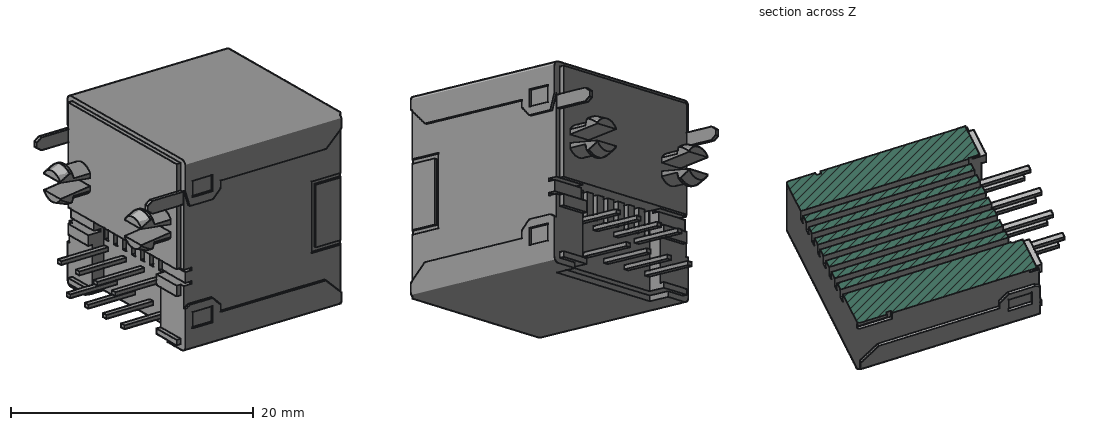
import cadquery as cq

WIDTH = 16.6
HEIGHT = 17.3
DEPTH = 16.1
CORNER_RADIUS = 0.5

SHEET = 0.25
WALL_X = WIDTH / 2 - SHEET
FRONT_ROUND = 0.27
FLAP_FRONT = 15.9
FLAP_EDGE = 2.7
FLAP_FRONT_EDGE = 1.2
FLAP_TAPER_END = 14.32
LOBE_EDGE = 4.18
LOBE_FRONT = 3.6
LOBE_CORNER = 0.8
LOBE_REAR = 0.45
UPPER_LOBE_REAR_EDGE = 2.75
LOWER_LOBE_REAR_EDGE = 3.9

WINDOW_REAR = 0.72
WINDOW_LENGTH = 2.08
WINDOW_EDGE = 1.97
WINDOW_HEIGHT = 1.48

TAB_CHANNEL_REAR = 13.05
TAB_CHANNEL_BOTTOM = 5.41
TAB_CHANNEL_TOP = 11.9
TAB_CHANNEL_WIDTH = 0.41

STANDOFF = 0.42
PANEL_HALF_WIDTH = 7.63
PANEL_BOTTOM = 7.37
PANEL_TOP = 16.9
UPPER_BAR_BOTTOM = 4.92
LOWER_BAR_BOTTOM = 0.49
LOWER_BAR_TOP = 0.99

RIB_BOTTOM = 6.14
RIB_TOP = 7.12
RIB_SETBACK = 0.16
GROOVE_HEIGHT = 0.24
GROOVE_DEPTH = 0.83

RECESS_HALF_WIDTH = 4.79
RECESS_DEPTH = 1.17
SLOT_BOTTOM = 5.17
CUTOUT_HALF_WIDTH = 5.77
CUTOUT_DEPTH = 2.0

CONTACT_COUNT = 8
CONTACT_PITCH = 1.27
CONTACT_WIDTH = 0.5
PIN_HEIGHT = 0.36
LOWER_ROW_Z = 1.89
UPPER_ROW_Z = LOWER_ROW_Z + 2 * CONTACT_PITCH
PIN_TIP = -3.6

LUG_OUTER_X = 7.98
LUG_Z = 13.84
LUG_HEIGHT = 1.16
LUG_TIP_HEIGHT = 0.5
LUG_TAPER = 0.47
LUG_ROOT = 0.5

PEG_X = 5.68
PEG_Z = 10.8
PEG_HALF_WIDTH = 1.15
PEG_RADIUS = 1.4
PEG_HEAD_RADIUS = 1.75
PEG_SHOULDER_START = -2.08
PEG_HEAD_START = -2.26
PEG_HEAD_END = -2.5
PEG_TIP = -3.45
PEG_GAP_ROOT = 0.36
PEG_GAP_TIP = 0.73


def box(x0, x1, y0, y1, z0, z1):
    """Axis-aligned box between two corners."""
    return cq.Workplane("XY").box(x1 - x0, y1 - y0, z1 - z0, centered=False).translate((x0, y0, z0))


def centered_box(half_width, y0, y1, z0, z1):
    return box(-half_width, half_width, y0, y1, z0, z1)


def mirrored_in_x(shape):
    return shape.union(shape.mirror("YZ"))


def flap_outline(rear_edge):
    """(Y, reach) corners of a flap, reach being measured from the top or bottom face."""
    return [
        (0, 0),
        (FLAP_FRONT, 0),
        (FLAP_FRONT, FLAP_FRONT_EDGE),
        (FLAP_TAPER_END, FLAP_EDGE),
        (LOBE_FRONT, FLAP_EDGE),
        (LOBE_FRONT, LOBE_EDGE - LOBE_CORNER),
        (LOBE_FRONT - LOBE_CORNER, LOBE_EDGE),
        (LOBE_REAR, LOBE_EDGE),
        (0, rear_edge),
    ]


def flap_pair(rear_edge):
    """Left and right lower flaps with their windows."""
    flaps = cq.Workplane("YZ").polyline(flap_outline(rear_edge)).close().extrude(WIDTH / 2, both=True)
    window_front = WINDOW_REAR + WINDOW_LENGTH
    window = box(WALL_X, WIDTH / 2, WINDOW_REAR, window_front, WINDOW_EDGE, WINDOW_EDGE + WINDOW_HEIGHT)
    return flaps.cut(mirrored_in_x(window))


def shield():
    envelope = centered_box(WIDTH / 2, 0, DEPTH, 0, HEIGHT).edges("|Y").fillet(CORNER_RADIUS)
    core = centered_box(WALL_X, 0, DEPTH, 0, HEIGHT).edges("|Z and >Y").fillet(FRONT_ROUND)
    lower_flaps = flap_pair(LOWER_LOBE_REAR_EDGE)
    upper_flaps = flap_pair(UPPER_LOBE_REAR_EDGE).mirror("XY").translate((0, 0, HEIGHT))
    return core.union(lower_flaps).union(upper_flaps).intersect(envelope)


def tab_channels():
    inner_x = WALL_X - SHEET
    channel = box(inner_x, WALL_X, TAB_CHANNEL_REAR, DEPTH, TAB_CHANNEL_BOTTOM, TAB_CHANNEL_TOP)
    tab = box(
        inner_x,
        WALL_X,
        TAB_CHANNEL_REAR + TAB_CHANNEL_WIDTH,
        DEPTH,
        TAB_CHANNEL_BOTTOM + TAB_CHANNEL_WIDTH,
        TAB_CHANNEL_TOP - TAB_CHANNEL_WIDTH,
    )
    return mirrored_in_x(channel.cut(tab))


def rear_standoffs():
    panel = centered_box(PANEL_HALF_WIDTH, -STANDOFF, 0, PANEL_BOTTOM, PANEL_TOP)
    upper_bar_top = RIB_BOTTOM - GROOVE_HEIGHT
    upper_bar = centered_box(PANEL_HALF_WIDTH, -STANDOFF, 0, UPPER_BAR_BOTTOM, upper_bar_top)
    lower_bar = centered_box(PANEL_HALF_WIDTH, -STANDOFF, 0, LOWER_BAR_BOTTOM, LOWER_BAR_TOP)
    return panel.union(upper_bar).union(lower_bar)


def rib_relief():
    """Two grooves across the rear, with the rib between them set slightly back."""
    relief = centered_box(WIDTH / 2, 0, RIB_SETBACK, RIB_BOTTOM, RIB_TOP)
    for bottom in (RIB_BOTTOM - GROOVE_HEIGHT, RIB_TOP):
        relief = relief.union(centered_box(WIDTH / 2, 0, GROOVE_DEPTH, bottom, bottom + GROOVE_HEIGHT))
    return relief


def contact_recess():
    recess = centered_box(RECESS_HALF_WIDTH, -STANDOFF, RECESS_DEPTH, LOWER_BAR_BOTTOM, PANEL_BOTTOM)
    cutout = centered_box(CUTOUT_HALF_WIDTH, 0, CUTOUT_DEPTH, 0, LOWER_BAR_BOTTOM)
    return recess.union(cutout)


def contact_x(index):
    return (index - (CONTACT_COUNT - 1) / 2) * CONTACT_PITCH


def contact_slot(index):
    """Slot running from the recess through to the front face."""
    x0 = contact_x(index) - CONTACT_WIDTH / 2
    return box(x0, x0 + CONTACT_WIDTH, 0, DEPTH, SLOT_BOTTOM, PANEL_BOTTOM)


def contact_pin(index):
    x0 = contact_x(index) - CONTACT_WIDTH / 2
    row_z = LOWER_ROW_Z if index % 2 else UPPER_ROW_Z
    z0 = row_z - PIN_HEIGHT / 2
    return box(x0, x0 + CONTACT_WIDTH, PIN_TIP, RECESS_DEPTH, z0, z0 + PIN_HEIGHT)


def ground_lugs():
    outline = [
        (LUG_ROOT, -LUG_HEIGHT / 2),
        (PIN_TIP + LUG_TAPER, -LUG_HEIGHT / 2),
        (PIN_TIP, -LUG_TIP_HEIGHT / 2),
        (PIN_TIP, LUG_TIP_HEIGHT / 2),
        (PIN_TIP + LUG_TAPER, LUG_HEIGHT / 2),
        (LUG_ROOT, LUG_HEIGHT / 2),
    ]
    lug = cq.Workplane("YZ").polyline(outline).close().extrude(LUG_OUTER_X - PANEL_HALF_WIDTH)
    return mirrored_in_x(lug.translate((PANEL_HALF_WIDTH, 0, LUG_Z)))


def snap_pegs():
    """Turned barbed pegs with flattened sides, split by a gap that widens towards the tip."""
    profile = [
        (0, 0),
        (PEG_RADIUS, 0),
        (PEG_RADIUS, PEG_SHOULDER_START),
        (PEG_HEAD_RADIUS, PEG_HEAD_START),
        (PEG_HEAD_RADIUS, PEG_HEAD_END),
        (PEG_RADIUS, PEG_TIP),
        (0, PEG_TIP),
    ]
    gap_outline = [
        (-STANDOFF, -PEG_GAP_ROOT),
        (PEG_TIP, -PEG_GAP_TIP),
        (PEG_TIP, PEG_GAP_TIP),
        (-STANDOFF, PEG_GAP_ROOT),
    ]
    peg = cq.Workplane("XY").polyline(profile).close().revolve(360, (0, 0, 0), (0, 1, 0))
    peg = peg.intersect(centered_box(PEG_HALF_WIDTH, PEG_TIP, 0, -PEG_HEAD_RADIUS, PEG_HEAD_RADIUS))
    peg = peg.cut(cq.Workplane("YZ").polyline(gap_outline).close().extrude(PEG_HEAD_RADIUS, both=True))
    return mirrored_in_x(peg.translate((PEG_X, 0, PEG_Z)))


body = shield().union(rear_standoffs())
body = body.cut(tab_channels()).cut(rib_relief()).cut(contact_recess())
for contact in range(CONTACT_COUNT):
    body = body.cut(contact_slot(contact)).union(contact_pin(contact))

result = body.union(ground_lugs()).union(snap_pegs())